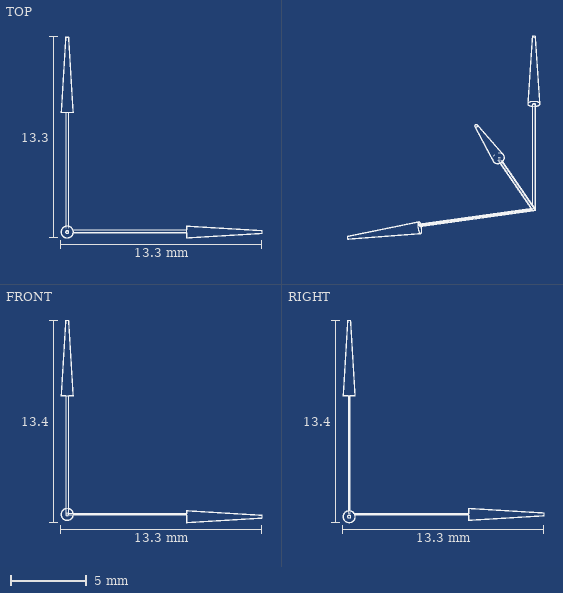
import cadquery as cq

x_bar_length = 8.0
y_bar_length = 7.96
z_bar_length = 7.89
bar_width = 0.19
bar_thickness = 0.1

tip_length = 5.0
tip_base_radius = 0.4
tip_end_radius = 0.1
x_tip_drop = 0.11

mid_width = bar_width / 2
mid_thickness = bar_thickness / 2


def bar(size_x, size_y, size_z):
    """Box with one corner at the origin."""
    return cq.Workplane("XY").box(size_x, size_y, size_z, centered=False)


def tapered_tip(base_center, direction):
    """Truncated cone that narrows along the given direction."""
    cone = cq.Solid.makeCone(
        tip_base_radius,
        tip_end_radius,
        tip_length,
        pnt=cq.Vector(*base_center),
        dir=cq.Vector(*direction),
    )
    return cq.Workplane(obj=cone)


x_bar = bar(x_bar_length, bar_width, bar_thickness)
y_bar = bar(bar_width, y_bar_length, bar_thickness)
z_bar = bar(bar_width, bar_thickness, z_bar_length)

x_tip = tapered_tip((x_bar_length, mid_thickness, -x_tip_drop), (1, 0, 0))
y_tip = tapered_tip((mid_width, y_bar_length, mid_thickness), (0, 1, 0))
z_tip = tapered_tip((mid_width, mid_thickness, z_bar_length), (0, 0, 1))

result = x_bar.union(y_bar).union(z_bar).union(x_tip).union(y_tip).union(z_tip)